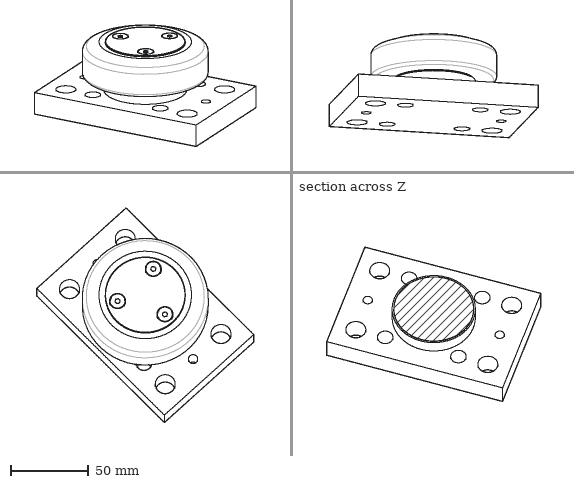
import cadquery as cq
import math

PLATE_LENGTH = 120
PLATE_WIDTH = 80.0
PLATE_THICKNESS = 15.0
HOLE_X = 45.0
HOLE_Y = 25.0
MOUNTING_HOLE_DIAMETER = 13.0
PIN_HOLE_DIAMETER = 6
INNER_HOLE_X = 25.0
INNER_HOLE_DIAMETER = 10.1

NECK_DIAMETER = 54
COLLAR_DIAMETER = 52.0
COLLAR_HEIGHT = 1.0

ROLLER_RADIUS = 40.86
ROLLER_BOTTOM = 25.1
ROLLER_TOP = 48
RIM_RADIUS = 30
CONE_ANGLE = math.radians(20)
SHOULDER_RADIUS = 4.0
LOWER_FILLET = 2.0

BORE_DIAMETER = 52.0
COVER_HEIGHT = 0.5
COVER_GAP = 0.2
COVER_DIAMETER = BORE_DIAMETER - 2 * COVER_GAP
COVER_GAP_DEPTH = 0.5
COVER_TOP = ROLLER_TOP + COVER_HEIGHT

SCREW_COUNT = 3
SCREW_CIRCLE_RADIUS = 18.5
SCREW_HEAD_DIAMETER = 9.7
SCREW_POCKET_DIAMETER = 10.5
SCREW_GAP_DEPTH = 2.4
SOCKET_WIDTH = 3.0
SOCKET_DEPTH = 0.5


def make_plate():
    """Rectangular plate with all of its through holes."""
    plate = cq.Workplane("XY").box(PLATE_LENGTH, PLATE_WIDTH, PLATE_THICKNESS, centered=(True, True, False))
    hole_groups = [
        (HOLE_X, HOLE_Y, MOUNTING_HOLE_DIAMETER),
        (INNER_HOLE_X, HOLE_Y, INNER_HOLE_DIAMETER),
        (HOLE_X, 0, PIN_HOLE_DIAMETER),
    ]
    for x, y, diameter in hole_groups:
        centers = {(side * x, end * y) for side in (-1, 1) for end in (-1, 1)}
        plate = plate.faces(">Z").workplane(origin=(0, 0, 0)).pushPoints(sorted(centers)).hole(diameter)
    return plate


def make_neck():
    """Cylinder standing on the plate, with a thin, narrower collar under the roller."""
    neck_height = ROLLER_BOTTOM - COLLAR_HEIGHT - PLATE_THICKNESS
    neck = cq.Workplane("XY").workplane(offset=PLATE_THICKNESS).circle(NECK_DIAMETER / 2).extrude(neck_height)
    return neck.faces(">Z").workplane().circle(COLLAR_DIAMETER / 2).extrude(COLLAR_HEIGHT)


def make_roller():
    """Revolved roller whose conical top blends tangentially into its side."""
    arc_center_r = ROLLER_RADIUS - SHOULDER_RADIUS
    cone_end_r = arc_center_r + SHOULDER_RADIUS * math.sin(CONE_ANGLE)
    cone_end_z = ROLLER_TOP - (cone_end_r - RIM_RADIUS) * math.tan(CONE_ANGLE)
    arc_center_z = cone_end_z - SHOULDER_RADIUS * math.cos(CONE_ANGLE)
    arc_mid_angle = (math.pi / 2 - CONE_ANGLE) / 2
    arc_middle = (
        arc_center_r + SHOULDER_RADIUS * math.cos(arc_mid_angle),
        arc_center_z + SHOULDER_RADIUS * math.sin(arc_mid_angle),
    )
    roller = (
        cq.Workplane("XZ")
        .moveTo(0, ROLLER_BOTTOM)
        .lineTo(ROLLER_RADIUS, ROLLER_BOTTOM)
        .lineTo(ROLLER_RADIUS, arc_center_z)
        .threePointArc(arc_middle, (cone_end_r, cone_end_z))
        .lineTo(RIM_RADIUS, ROLLER_TOP)
        .lineTo(0, ROLLER_TOP)
        .close()
        .revolve(360, (0, 0, 0), (0, 1, 0))
    )
    return roller.faces("<Z").edges().fillet(LOWER_FILLET)


def make_cover():
    """Low disc on top of the roller."""
    return cq.Workplane("XY").workplane(offset=ROLLER_TOP).circle(COVER_DIAMETER / 2).extrude(COVER_HEIGHT)


def make_cover_gap():
    """Narrow ring groove in the rim around the cover."""
    rim = cq.Workplane("XY").workplane(offset=ROLLER_TOP)
    ring = rim.circle(BORE_DIAMETER / 2).circle(COVER_DIAMETER / 2)
    return ring.extrude(-COVER_GAP_DEPTH)


def make_screw_cuts():
    """Ring gaps around the screw heads and the hexagonal sockets in them."""
    top = cq.Workplane("XY").workplane(offset=COVER_TOP)
    angles = [math.pi + i * 2 * math.pi / SCREW_COUNT for i in range(SCREW_COUNT)]
    centers = [(SCREW_CIRCLE_RADIUS * math.cos(a), SCREW_CIRCLE_RADIUS * math.sin(a)) for a in angles]
    pockets = top.pushPoints(centers).circle(SCREW_POCKET_DIAMETER / 2).extrude(-SCREW_GAP_DEPTH)
    heads = top.pushPoints(centers).circle(SCREW_HEAD_DIAMETER / 2).extrude(-SCREW_GAP_DEPTH)
    socket_corners = SOCKET_WIDTH / math.cos(math.pi / 6)
    sockets = top.pushPoints(centers).polygon(6, socket_corners).extrude(-SOCKET_DEPTH)
    return pockets.cut(heads).union(sockets)


body = make_plate().union(make_neck()).union(make_roller()).union(make_cover())
result = body.cut(make_cover_gap()).cut(make_screw_cuts())